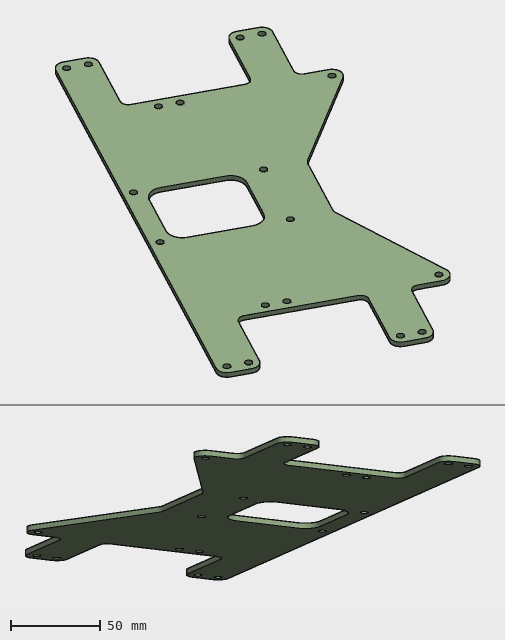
import cadquery as cq
import math

length = 317.5
depth = 152.5
thickness = 3.2
half_length = length / 2
body_half_width = 108.0

arm_width = 25.5
upper_arm_top = 127.0
upper_arm_bottom = upper_arm_top - arm_width

notch_floor = 108.0
notch_half_width = 25.5

outer_radius = 6.5
inner_radius = 4.8
notch_radius = 6.5

window_width = 50.8
window_bottom = 12.7
window_top = 70.0
window_radius = 9.5

hole_diameter = 4.5
edge_distance = 6.5
hole_pitch = 12.7
arm_hole_x = half_length - edge_distance
body_hole_x = body_half_width - edge_distance
body_hole_y = 44.5
mount_hole_x = window_width / 2
mount_hole_y = window_top + hole_pitch


def round_corners(plate, corners, radius):
    """Round the vertical edges at the given right-side corners and their mirror images."""
    for x, y in corners:
        for side in (-1, 1):
            corner = cq.selectors.NearestToPointSelector((side * x, y, thickness / 2))
            plate = plate.edges("|Z").edges(corner).fillet(radius)
    return plate


lower_arm_corners = [(half_length, 0), (half_length, arm_width)]
upper_arm_corners = [(half_length, upper_arm_bottom), (half_length, upper_arm_top)]
lower_arm_root = (body_half_width, arm_width)
upper_arm_roots = [(body_half_width, upper_arm_bottom), (body_half_width, upper_arm_top)]
notch_corner = (notch_half_width, notch_floor)

tip_run = body_half_width - outer_radius - notch_half_width
tip_rise = depth - outer_radius - notch_floor
tip_distance = math.hypot(tip_run, tip_rise)
slope_angle = math.atan2(tip_rise, tip_run) + math.asin(outer_radius / tip_distance)
horn_rise = (body_half_width - notch_half_width) * math.tan(slope_angle)
horn_corner = (body_half_width, notch_floor + horn_rise)

right_half = [
    *lower_arm_corners,
    lower_arm_root,
    upper_arm_roots[0],
    *upper_arm_corners,
    upper_arm_roots[1],
    horn_corner,
    notch_corner,
]
left_half = [(-x, y) for x, y in reversed(right_half)]
plate = cq.Workplane("XY").polyline(right_half + left_half).close().extrude(thickness)

plate = round_corners(plate, lower_arm_corners + upper_arm_corners, outer_radius)
plate = round_corners(plate, [lower_arm_root] + upper_arm_roots, inner_radius)
plate = round_corners(plate, [horn_corner], outer_radius)
plate = round_corners(plate, [notch_corner], notch_radius)

window_height = window_top - window_bottom
window = (
    cq.Workplane("XY")
    .center(0, window_bottom + window_height / 2)
    .rect(window_width, window_height)
    .extrude(thickness)
    .edges("|Z")
    .fillet(window_radius)
)
plate = plate.cut(window)

right_holes = [
    (arm_hole_x, edge_distance),
    (arm_hole_x, edge_distance + hole_pitch),
    (arm_hole_x, upper_arm_bottom + edge_distance),
    (arm_hole_x, upper_arm_top - edge_distance),
    (body_hole_x, body_hole_y),
    (body_hole_x, body_hole_y + hole_pitch),
    (body_hole_x, depth - edge_distance),
    (mount_hole_x, edge_distance),
    (mount_hole_x, mount_hole_y),
]
holes = right_holes + [(-x, y) for x, y in right_holes]
result = plate.cut(
    cq.Workplane("XY").pushPoints(holes).circle(hole_diameter / 2).extrude(thickness)
)